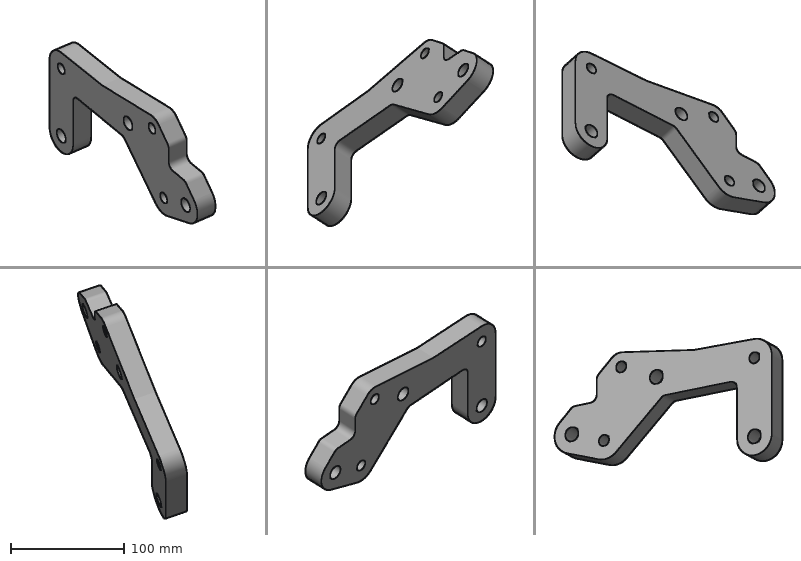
import cadquery as cq
import math

thickness = 20.0
pivot_hole_diameter = 13.0
bolt_hole_diameter = 10.2

lug_radius = 17.5
peak_radius = 13.5
blend_radius = 6.5

foot = (0, 0)
heel = (0, 72.5)
middle = (98.1, 69.2)
peak = (133.5, 83.5)
nose = (182.8, 28.7)
chin = (150.5, 18.3)

notch_wall_x = 158.0
notch_floor_z = 55.0
front_edge_sum = nose[0] + nose[1] + lug_radius * math.sqrt(2)
blend_center_sum = front_edge_sum - blend_radius * math.sqrt(2)
notch_top_x = notch_wall_x - blend_radius
notch_tip_x = 179.0

corners = [
    (foot, lug_radius),
    (heel, lug_radius),
    ((60.3, 88.5), 0),
    (peak, peak_radius),
    ((notch_top_x, blend_center_sum - notch_top_x), blend_radius),
    ((notch_wall_x + blend_radius, notch_floor_z + blend_radius), -blend_radius),
    ((notch_tip_x, blend_center_sum - notch_tip_x), blend_radius),
    (nose, lug_radius),
    (chin, lug_radius),
    ((88.5, 44.6), -blend_radius),
    ((lug_radius + blend_radius, 47.2), -blend_radius),
]


def outward_normal(start, end):
    """Angle of the outward normal of the edge tangent to two successive corners."""
    (x1, z1), r1 = start
    (x2, z2), r2 = end
    distance = math.hypot(x2 - x1, z2 - z1)
    heading = math.atan2(z2 - z1, x2 - x1)
    return heading + math.acos((r1 - r2) / distance)


def point_on(corner, angle):
    (x, z), radius = corner
    return (x + radius * math.cos(angle), z + radius * math.sin(angle))


def make_outline():
    """Join the corner arcs with straight tangent edges."""
    count = len(corners)
    normals = [outward_normal(corners[i], corners[(i + 1) % count]) for i in range(count)]
    outline = cq.Workplane("XZ").moveTo(*point_on(corners[0], normals[0]))
    for i in range(1, count + 1):
        corner = corners[i % count]
        angle_in = normals[i - 1]
        angle_out = normals[i % count]
        outline = outline.lineTo(*point_on(corner, angle_in))
        if corner[1] != 0:
            turn = math.remainder(angle_out - angle_in, 2 * math.pi)
            if corner[1] > 0 and turn > 0:
                turn -= 2 * math.pi
            outline = outline.threePointArc(
                point_on(corner, angle_in + turn / 2),
                point_on(corner, angle_out),
            )
    return outline.close()


def make_holes(centers, diameter):
    return cq.Workplane("XZ").pushPoints(centers).circle(diameter / 2).extrude(thickness)


plate = make_outline().extrude(thickness)
pivot_holes = make_holes([foot, middle, nose], pivot_hole_diameter)
bolt_holes = make_holes([heel, peak, chin], bolt_hole_diameter)
result = plate.cut(pivot_holes).cut(bolt_holes)